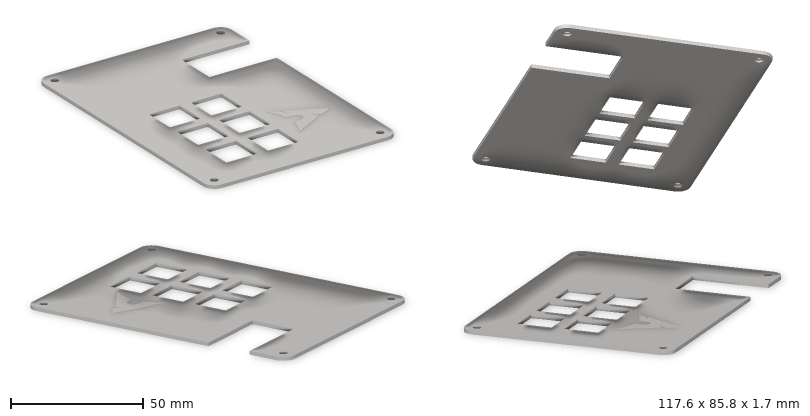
import cadquery as cq

PLATE_LENGTH = 117.61
PLATE_WIDTH = 85.82
PLATE_THICKNESS = 1.5
CORNER_RADIUS = 5.0

HOLE_DIAMETER = 3.4
HOLE_INSET = CORNER_RADIUS

NOTCH_WIDTH = 18.5
NOTCH_DEPTH = 30.8
NOTCH_CENTRE_X = -32.6

KEY_SIZE = 14.0
KEY_PITCH = 19.05
KEY_COLUMNS = 3
KEY_ROWS = 2
KEY_GRID_CENTRE = (17.55, -9.0)

OVERALL_HEIGHT = 1.7
ARROW_RELIEF = OVERALL_HEIGHT - PLATE_THICKNESS
ARROW_AXIS_X = 25.75
ARROW_BASE_Y = 12.0
ARROW_HEIGHT = 22.4
LEFT_TIP_X = -11.3
RIGHT_TIP = (11.1, 0.4)
ARCH_FOOT_HALF_WIDTH = 2.5
ARCH_RADIUS = 2.2
ARCH_FOOT_Y = 3.9
ARCH_TOP_Y = 9.4
FOOT_BOW = 0.4

RIGHT_NICK = [(2.9, 15.2), (0.0, 13.4), (2.7, 16.6)]
LEFT_NICK = [(-8.4, 5.1), (-5.3, 6.5), (-7.9, 4.7)]


def make_plate():
    plate = cq.Workplane("XY").box(PLATE_LENGTH, PLATE_WIDTH, PLATE_THICKNESS, centered=(True, True, False))
    return plate.edges("|Z").fillet(CORNER_RADIUS)


def make_mounting_holes():
    return (
        cq.Workplane("XY")
        .rect(PLATE_LENGTH - 2 * HOLE_INSET, PLATE_WIDTH - 2 * HOLE_INSET, forConstruction=True)
        .vertices()
        .circle(HOLE_DIAMETER / 2)
        .extrude(PLATE_THICKNESS)
    )


def make_notch():
    centre_y = (PLATE_WIDTH - NOTCH_DEPTH) / 2
    return (
        cq.Workplane("XY")
        .center(NOTCH_CENTRE_X, centre_y)
        .rect(NOTCH_WIDTH, NOTCH_DEPTH)
        .extrude(PLATE_THICKNESS)
    )


def make_key_openings():
    return (
        cq.Workplane("XY")
        .center(*KEY_GRID_CENTRE)
        .rarray(KEY_PITCH, KEY_PITCH, KEY_COLUMNS, KEY_ROWS)
        .rect(KEY_SIZE, KEY_SIZE)
        .extrude(PLATE_THICKNESS)
    )


def make_arrowhead():
    spring_y = ARCH_TOP_Y - ARCH_RADIUS
    left_foot = (-ARCH_FOOT_HALF_WIDTH, ARCH_FOOT_Y)
    right_foot = (ARCH_FOOT_HALF_WIDTH, ARCH_FOOT_Y)
    left_bow = ((LEFT_TIP_X + left_foot[0]) / 2, ARCH_FOOT_Y / 2 + FOOT_BOW)
    right_bow = ((RIGHT_TIP[0] + right_foot[0]) / 2, (RIGHT_TIP[1] + ARCH_FOOT_Y) / 2 + FOOT_BOW)
    outline = (
        cq.Workplane("XY", origin=(ARROW_AXIS_X, ARROW_BASE_Y, PLATE_THICKNESS))
        .moveTo(LEFT_TIP_X, 0)
        .threePointArc(left_bow, left_foot)
        .lineTo(-ARCH_RADIUS, spring_y)
        .threePointArc((0, ARCH_TOP_Y), (ARCH_RADIUS, spring_y))
        .lineTo(*right_foot)
        .threePointArc(right_bow, RIGHT_TIP)
    )
    for point in RIGHT_NICK:
        outline = outline.lineTo(*point)
    outline = outline.lineTo(0, ARROW_HEIGHT)
    for point in LEFT_NICK:
        outline = outline.lineTo(*point)
    return outline.close().extrude(ARROW_RELIEF)


result = (
    make_plate()
    .cut(make_mounting_holes())
    .cut(make_notch())
    .cut(make_key_openings())
    .union(make_arrowhead())
)